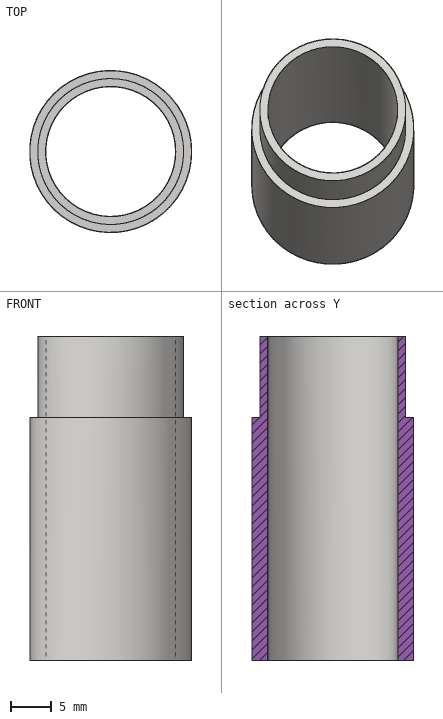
import cadquery as cq

total_height = 40.0
spigot_height = 10.0
body_diameter = 20.0
spigot_diameter = 18.0
bore_diameter = 16.0

body_height = total_height - spigot_height

body = cq.Workplane("XY").circle(body_diameter / 2).extrude(body_height)

sleeve = body.faces(">Z").workplane().circle(spigot_diameter / 2).extrude(spigot_height)

bore = cq.Workplane("XY").circle(bore_diameter / 2).extrude(total_height)

result = sleeve.cut(bore)